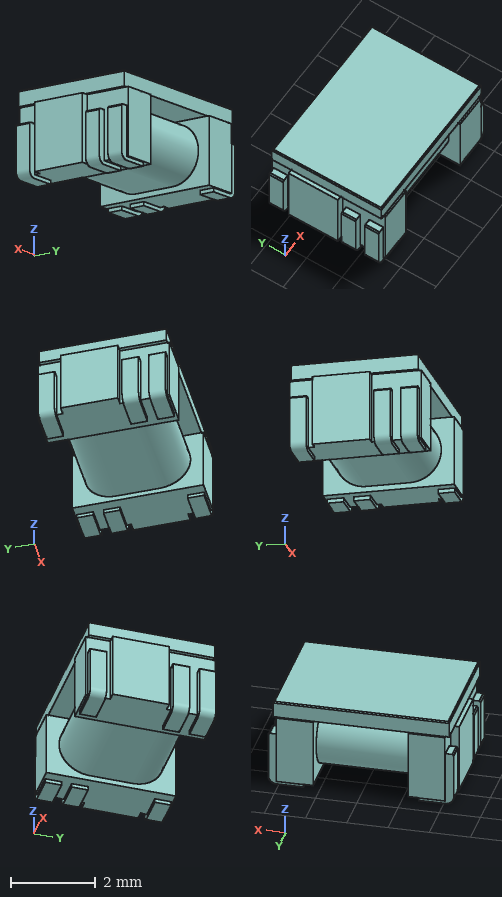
import cadquery as cq

LENGTH = 4.5
WIDTH = 3.2
HEIGHT = 2.2

PLATE_LENGTH = 4.275
PLATE_WIDTH = 3.1
PLATE_BOTTOM_Z = 1.8
PLATE_CHAMFER = 0.03

FLANGE_OUTER_X = 2.048
FLANGE_INNER_X = 1.15
FLANGE_BOTTOM_Z = 0.1
DRUM_WIDTH = 2.575
DRUM_HEIGHT = 1.51
DRUM_CENTER_Z = 0.995

PAD_WIDTH = 1.395
PAD_CENTER_Y = 0.3

TERMINAL_WIDTH = 0.4
TERMINAL_TOP_Z = 1.345
TERMINAL_FOOT_INNER_X = 1.4
TERMINAL_BEND_RADIUS = 0.2
TERMINAL_CHAMFER = 0.035
MIDDLE_TERMINAL_Y = -0.698
CORNER_TERMINAL_Y = (PLATE_WIDTH - TERMINAL_WIDTH) / 2
TERMINAL_CENTERS_Y = (-CORNER_TERMINAL_Y, MIDDLE_TERMINAL_Y, CORNER_TERMINAL_Y)

END_X = LENGTH / 2


def block(x_min, x_max, center_y, width, z_min, z_max):
    """Box given by its X and Z limits and its position across Y."""
    size_x = x_max - x_min
    return (
        cq.Workplane("XY")
        .box(size_x, width, z_max - z_min, centered=(False, True, False))
        .translate((x_min, center_y, z_min))
    )


def make_plate():
    """Flat cover with a chamfered top rim."""
    plate = block(-PLATE_LENGTH / 2, PLATE_LENGTH / 2, 0, PLATE_WIDTH, PLATE_BOTTOM_Z, HEIGHT)
    return plate.faces(">Z").chamfer(PLATE_CHAMFER)


def make_terminal(center_y):
    """Terminal at the -X end: an upright leg and a foot joined by a rounded outer bend."""
    leg = block(-END_X, -FLANGE_OUTER_X, center_y, TERMINAL_WIDTH, 0, TERMINAL_TOP_Z)
    foot = block(-END_X, -TERMINAL_FOOT_INNER_X, center_y, TERMINAL_WIDTH, 0, FLANGE_BOTTOM_Z)
    terminal = leg.union(foot)
    terminal = terminal.faces("<X").edges("<Z").fillet(TERMINAL_BEND_RADIUS)
    return terminal.faces("<X").edges(">Z").chamfer(TERMINAL_CHAMFER)


def make_core_end():
    """Flange, pad and terminals at the -X end."""
    end = block(-FLANGE_OUTER_X, -FLANGE_INNER_X, 0, WIDTH, FLANGE_BOTTOM_Z, PLATE_BOTTOM_Z)
    pad = block(-END_X, -FLANGE_OUTER_X, PAD_CENTER_Y, PAD_WIDTH, FLANGE_BOTTOM_Z, PLATE_BOTTOM_Z)
    end = end.union(pad)
    for center_y in TERMINAL_CENTERS_Y:
        end = end.union(make_terminal(center_y))
    return end


def make_core():
    """Stadium-section drum with two identical ends, the second turned half a turn about Z."""
    drum = (
        cq.Workplane("YZ")
        .center(0, DRUM_CENTER_Z)
        .slot2D(DRUM_WIDTH, DRUM_HEIGHT)
        .extrude(FLANGE_INNER_X, both=True)
    )
    end = make_core_end()
    opposite_end = end.rotate((0, 0, 0), (0, 0, 1), 180)
    return drum.union(end).union(opposite_end)


plate = make_plate()
core = make_core()

result = cq.Compound.makeCompound([plate.val(), core.val()])